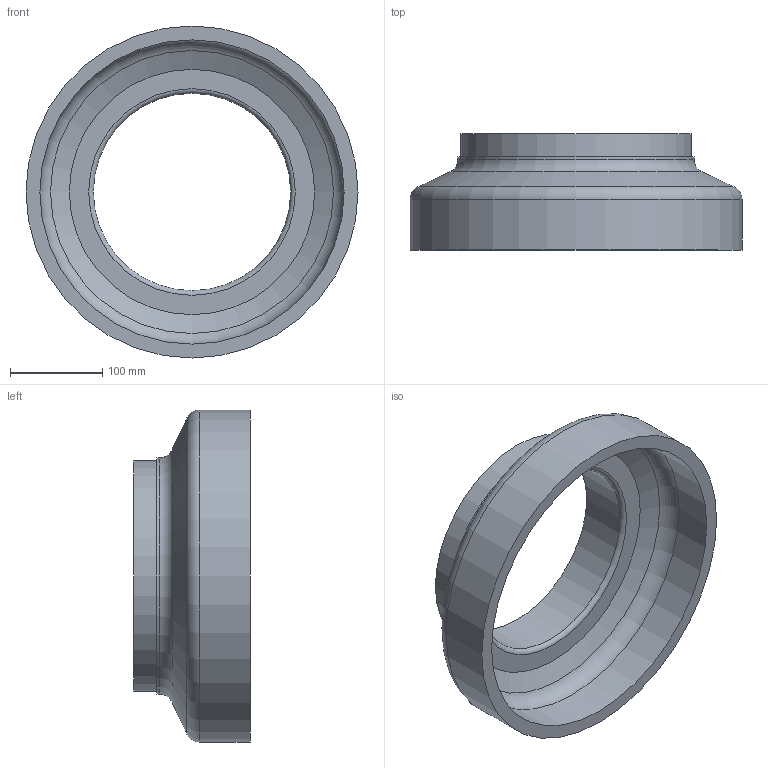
import cadquery as cq
import math

total_length = 126.2
body_radius = 180.0
body_straight_length = 55.0
shoulder_round = 15.0
shoulder_angle = math.radians(25.0)
throat_radius = 128.0
neck_radius = 125.0
neck_length = 25.0

rim_thickness = 15.0
cavity_radius = body_radius - rim_thickness
cavity_straight_length = 42.5
cavity_round = 20.0
cavity_floor_radius = 133.0
bore_radius = 107.0
bore_edge_round = 5.0


def round_point(start_radius, start_axial, arc_radius, turn):
    """Point on an inward arc that leaves an axial wall, after the given turn."""
    radial = start_radius - arc_radius * (1 - math.cos(turn))
    axial = start_axial + arc_radius * math.sin(turn)
    return (radial, axial)


def cone_end(start, end_radius, angle):
    """End of a cone line rising inward at the given angle from the radial direction."""
    return (end_radius, start[1] + (start[0] - end_radius) * math.tan(angle))


def make_profile():
    turn = math.pi / 2 - shoulder_angle

    shoulder_mid = round_point(body_radius, body_straight_length, shoulder_round, turn / 2)
    shoulder_end = round_point(body_radius, body_straight_length, shoulder_round, turn)
    throat_start_radius = throat_radius + shoulder_round * (1 - math.cos(turn))
    throat_start = cone_end(shoulder_end, throat_start_radius, shoulder_angle)
    throat_end_axial = throat_start[1] + shoulder_round * math.sin(turn)
    throat_mid = (
        throat_radius + shoulder_round * (1 - math.cos(turn / 2)),
        throat_end_axial - shoulder_round * math.sin(turn / 2),
    )
    neck_start_axial = total_length - neck_length

    cavity_mid = round_point(cavity_radius, cavity_straight_length, cavity_round, turn / 2)
    cavity_end = round_point(cavity_radius, cavity_straight_length, cavity_round, turn)
    floor_edge = cone_end(cavity_end, cavity_floor_radius, shoulder_angle)
    floor_axial = floor_edge[1]
    edge_mid_offset = bore_edge_round * (1 - math.sqrt(0.5))

    return (
        cq.Workplane("ZY")
        .moveTo(cavity_radius, 0)
        .lineTo(body_radius, 0)
        .lineTo(body_radius, body_straight_length)
        .threePointArc(shoulder_mid, shoulder_end)
        .lineTo(*throat_start)
        .threePointArc(throat_mid, (throat_radius, throat_end_axial))
        .lineTo(throat_radius, neck_start_axial)
        .lineTo(neck_radius, neck_start_axial)
        .lineTo(neck_radius, total_length)
        .lineTo(bore_radius, total_length)
        .lineTo(bore_radius, floor_axial + bore_edge_round)
        .threePointArc(
            (bore_radius + edge_mid_offset, floor_axial + edge_mid_offset),
            (bore_radius + bore_edge_round, floor_axial),
        )
        .lineTo(*floor_edge)
        .lineTo(*cavity_end)
        .threePointArc(cavity_mid, (cavity_radius, cavity_straight_length))
        .close()
    )


result = make_profile().revolve(360, (0, 0, 0), (0, 1, 0))